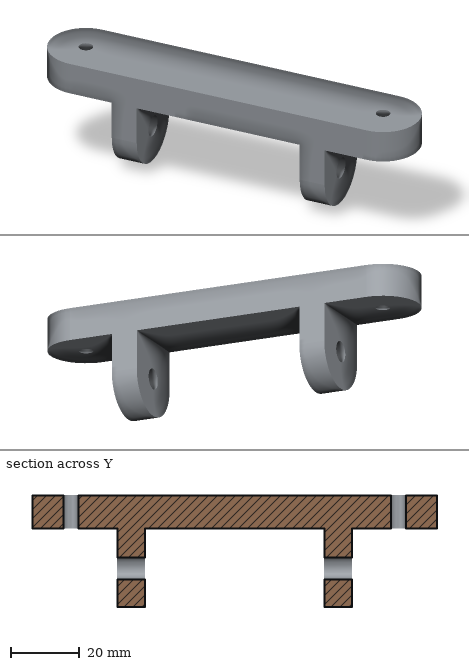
import cadquery as cq

length = 117.6
width = 22.6
plate_thickness = 9.8
total_height = 32.6
end_radius = width / 2
end_center_x = length / 2 - end_radius

screw_hole_diameter = 4.2
pin_hole_diameter = 6.2

lug_thickness = 8.0
lug_spacing = 60.1
lug_drop = total_height - plate_thickness
pin_axis_z = end_radius - lug_drop


def make_plate():
    """Round-ended plate standing on Z = 0, with a vertical hole at each end centre."""
    plate = cq.Workplane("XY").slot2D(length, width).extrude(plate_thickness)
    return (
        plate.faces(">Z").workplane()
        .pushPoints([(-end_center_x, 0), (end_center_x, 0)])
        .hole(screw_hole_diameter)
    )


def make_lug(center_x):
    """Lug below the plate with a half-round tip and a pin hole along X."""
    return (
        cq.Workplane("YZ", origin=(center_x - lug_thickness / 2, 0, 0))
        .moveTo(-end_radius, 0)
        .lineTo(-end_radius, pin_axis_z)
        .threePointArc((0, -lug_drop), (end_radius, pin_axis_z))
        .lineTo(end_radius, 0)
        .close()
        .moveTo(0, pin_axis_z)
        .circle(pin_hole_diameter / 2)
        .extrude(lug_thickness)
    )


result = make_plate()
for side in (-1, 1):
    result = result.union(make_lug(side * lug_spacing / 2))